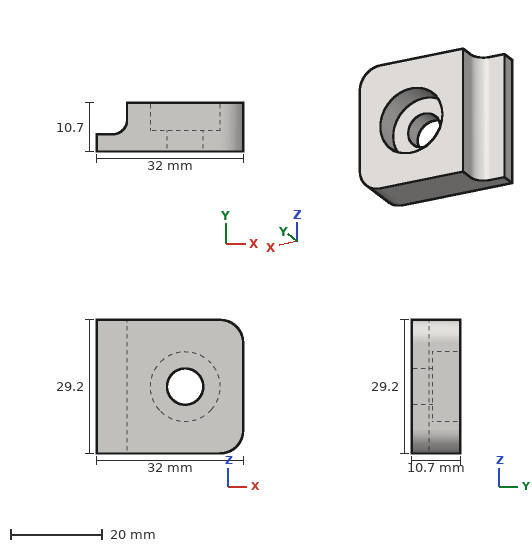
import cadquery as cq

length = 32.01
thickness = 10.67
height = 29.21
corner_radius = 5.08

lip_length = 6.604
lip_thickness = 3.81
step_fillet_radius = 3.048

hole_diameter = 7.874
hole_from_right = 12.7
counterbore_diameter = 15.24
counterbore_floor = 4.572


def make_block():
    """Block with its two +X corners rounded, front face on Y = 0."""
    block = cq.Workplane("XY").box(length, thickness, height, centered=(False, False, False))
    return block.edges("|Y and >X").fillet(corner_radius)


def make_step_cutter():
    """Full-height cutter whose inner corner is rounded to fillet the step."""
    cutter = cq.Workplane("XY").box(
        lip_length, thickness - lip_thickness, height, centered=(False, False, False)
    )
    rounded = cutter.edges("|Z and >X and <Y").fillet(step_fillet_radius)
    return rounded.translate((0, lip_thickness, 0))


def make_hole_cutter():
    """Through hole joined with the wider counterbore that opens on the +Y face."""
    hole_x = length - hole_from_right
    hole = cq.Workplane("XZ").circle(hole_diameter / 2).extrude(-thickness)
    counterbore = (
        cq.Workplane("XZ", origin=(0, counterbore_floor, 0))
        .circle(counterbore_diameter / 2)
        .extrude(counterbore_floor - thickness)
    )
    return hole.union(counterbore).translate((hole_x, 0, height / 2))


result = make_block().cut(make_step_cutter()).cut(make_hole_cutter())